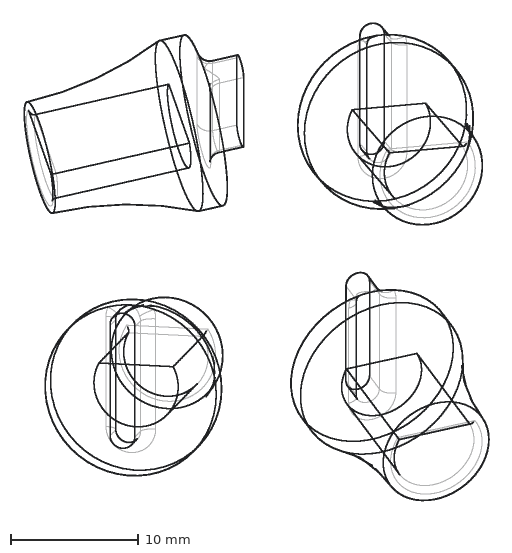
import cadquery as cq
import math

total_length = 16.4
flange_diameter = 13.8
flange_radius = flange_diameter / 2
nose_radius = 4.5
flange_thickness = 2.0

tab_length = 3.0
tab_width = 2.0
rim_clearance = 0.002
tab_top_z = flange_radius - rim_clearance
tab_bottom_z = -4.0
tab_root_fillet = 1.0

socket_radius = 3.4
socket_flat_z = 1.6
socket_mouth_fillet = 0.5

flange_back_y = total_length - tab_length
flange_front_y = flange_back_y - flange_thickness
socket_depth = flange_front_y

selection_margin = 0.02


def make_body():
    """Flared nose, tangent to the axis direction at its front, with a flange."""
    flare_rise = flange_radius - nose_radius
    flare_radius = (flange_front_y**2 + flare_rise**2) / (2 * flare_rise)
    half_angle = math.asin(flange_front_y / flare_radius) / 2
    flare_middle = (
        nose_radius + flare_radius * (1 - math.cos(half_angle)),
        flare_radius * math.sin(half_angle),
    )
    return (
        cq.Workplane("XY")
        .lineTo(nose_radius, 0)
        .threePointArc(flare_middle, (flange_radius, flange_front_y))
        .lineTo(flange_radius, flange_back_y)
        .lineTo(0, flange_back_y)
        .close()
        .revolve(360, (0, 0, 0), (0, 1, 0))
    )


def add_tab(body):
    """Round-ended tab whose top nearly touches the flange rim, blended at its root."""
    tab_height = tab_top_z - tab_bottom_z
    tab = (
        cq.Workplane("XZ", origin=(0, flange_back_y, 0))
        .center(0, (tab_top_z + tab_bottom_z) / 2)
        .slot2D(tab_height, tab_width, 90)
        .extrude(-tab_length)
    )
    half_width = tab_width / 2
    root_box = cq.selectors.BoxSelector(
        (-half_width - selection_margin, flange_back_y - selection_margin, tab_bottom_z - selection_margin),
        (half_width + selection_margin, flange_back_y + selection_margin, tab_top_z + selection_margin),
        boundingbox=True,
    )
    return body.union(tab).edges(root_box).fillet(tab_root_fillet)


def make_socket():
    """D-shaped cutter reaching from the nose face to the flange."""
    half_chord = math.sqrt(socket_radius**2 - socket_flat_z**2)
    return (
        cq.Workplane("XZ")
        .moveTo(-half_chord, socket_flat_z)
        .threePointArc((0, -socket_radius), (half_chord, socket_flat_z))
        .close()
        .extrude(-socket_depth)
    )


def round_mouth(body):
    """Round the sharp rim where the socket meets the nose face."""
    reach = socket_radius + selection_margin
    mouth_box = cq.selectors.BoxSelector(
        (-reach, -selection_margin, -reach),
        (reach, selection_margin, reach),
        boundingbox=True,
    )
    return body.edges(mouth_box).fillet(socket_mouth_fillet)


result = round_mouth(add_tab(make_body()).cut(make_socket()))